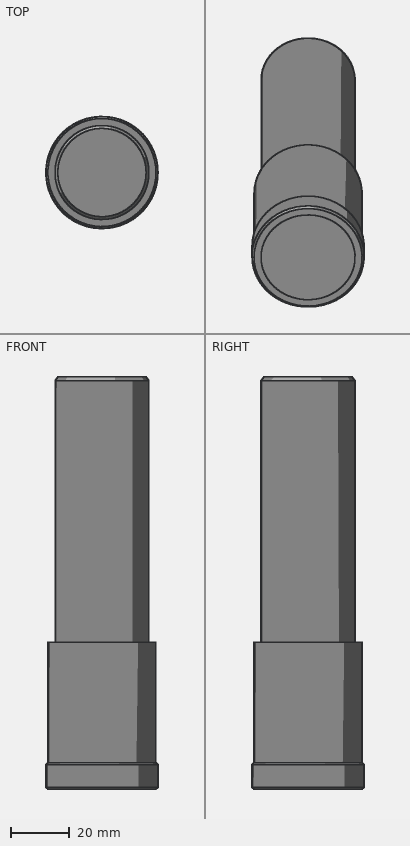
import cadquery as cq

TOTAL_HEIGHT = 140.0
SLEEVE_HEIGHT = 50.0

PIN_DIAMETER = 31.9
TIP_CHAMFER_HEIGHT = 1.4
TIP_CHAMFER_WIDTH = 1.0
SHANK_HEIGHT = TOTAL_HEIGHT - TIP_CHAMFER_HEIGHT

SLEEVE_DIAMETER = 36.7
COLLAR_DIAMETER = 38.1
COLLAR_HEIGHT = 9.1
COLLAR_CHAMFER = (COLLAR_DIAMETER - SLEEVE_DIAMETER) / 2


def make_pin():
    """Plain round pin running the full height, chamfered at its upper end."""
    pin = cq.Workplane("XY").circle(PIN_DIAMETER / 2).extrude(SHANK_HEIGHT)
    tip_cone = cq.Solid.makeCone(
        PIN_DIAMETER / 2,
        PIN_DIAMETER / 2 - TIP_CHAMFER_WIDTH,
        TIP_CHAMFER_HEIGHT,
        pnt=cq.Vector(0, 0, SHANK_HEIGHT),
    )
    return pin.union(cq.Workplane(tip_cone))


def make_sleeve():
    """Sleeve around the foot of the pin, with a chamfered collar and a through bore."""
    collar = cq.Workplane("XY").circle(COLLAR_DIAMETER / 2).extrude(COLLAR_HEIGHT)
    collar = collar.faces("<Z or >Z").chamfer(COLLAR_CHAMFER)
    barrel = cq.Workplane("XY").circle(SLEEVE_DIAMETER / 2).extrude(SLEEVE_HEIGHT)
    bore = cq.Workplane("XY").circle(PIN_DIAMETER / 2).extrude(SLEEVE_HEIGHT)
    return collar.union(barrel).cut(bore)


pin = make_pin()
sleeve = make_sleeve()
result = cq.Compound.makeCompound([pin.val(), sleeve.val()])